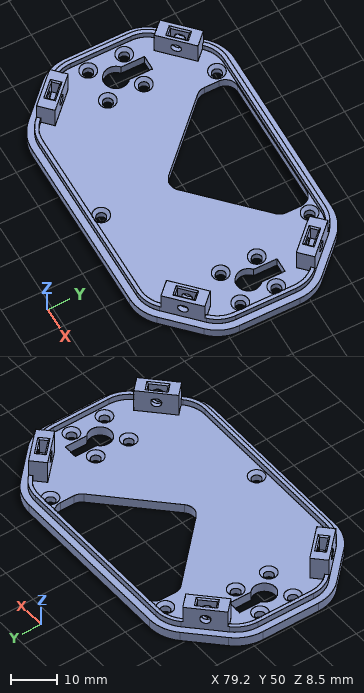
import cadquery as cq
import math

LENGTH = 79.2
WIDTH = 50.0
PLATE_HEIGHT = 2.5
CORNER_CUT = 13.4
CORNER_RADIUS = 10.0
CORNER_ANGLES = (45, 135, 225, 315)

RIM_INSET = 1.75
RIM_THICKNESS = 0.95
RIM_HEIGHT = 1.6

TOTAL_HEIGHT = 8.5
POST_WIDTH = 9.9
POST_DEPTH = 4.2

POST_HOLE_DIAMETER = 2.4
POST_HOLE_Z = 5.55
NUT_WIDTH = 4.35
NUT_THICKNESS = 1.9
NUT_SETBACK = 2.2
MOUTH_CHAMFER = 0.36

SCREW_DIAMETER = 2.4
SCREW_HEAD_DIAMETER = 4.0
SCREW_HEAD_ANGLE = 90.0
EDGE_SCREW_X = 21.0
EDGE_SCREW_Y = 19.95
GROUP_SCREW_OFFSET = 4.4

KEYHOLE_X = 30.0
KEYHOLE_DIAMETER = 5.8
KEYHOLE_SLOT_WIDTH = 3.65
KEYHOLE_SLOT_END = 8.0

OPENING_HALF_WIDTH = 18.5
OPENING_TOP = 22.1
OPENING_TIP = -4.3
OPENING_RADIUS = 3.0

half_length = LENGTH / 2
half_width = WIDTH / 2
post_height = TOTAL_HEIGHT - PLATE_HEIGHT

rim_inset_xy = RIM_INSET / math.sqrt(2)
post_x = half_length - CORNER_CUT / 2 - rim_inset_xy
post_y = half_width - CORNER_CUT / 2 - rim_inset_xy


def octagon(inset, bottom, height):
    """Rounded octagonal prism whose walls lie at the inset inside the plate edge."""
    cut = CORNER_CUT - inset * (2 - math.sqrt(2))
    return (
        cq.Workplane("XY", origin=(0, 0, bottom))
        .rect(LENGTH - 2 * inset, WIDTH - 2 * inset)
        .extrude(height)
        .edges("|Z").chamfer(cut)
        .edges("|Z").fillet(CORNER_RADIUS - inset)
    )


def opening_cutter():
    """Five-sided opening with rounded corners."""
    shoulder = OPENING_TIP + OPENING_HALF_WIDTH
    return (
        cq.Workplane("XY")
        .polyline([
            (-OPENING_HALF_WIDTH, OPENING_TOP),
            (-OPENING_HALF_WIDTH, shoulder),
            (0, OPENING_TIP),
            (OPENING_HALF_WIDTH, shoulder),
            (OPENING_HALF_WIDTH, OPENING_TOP),
        ])
        .close()
        .extrude(PLATE_HEIGHT)
        .edges("|Z").fillet(OPENING_RADIUS)
    )


def keyhole_cutter(x):
    """Round entry with a square-ended slot toward +Y."""
    entry = cq.Workplane("XY").center(x, 0).circle(KEYHOLE_DIAMETER / 2).extrude(PLATE_HEIGHT)
    slot = (
        cq.Workplane("XY")
        .center(x, KEYHOLE_SLOT_END / 2)
        .rect(KEYHOLE_SLOT_WIDTH, KEYHOLE_SLOT_END)
        .extrude(PLATE_HEIGHT)
    )
    return entry.union(slot)


def screw_points():
    """Centres of all the countersunk holes."""
    points = [(-EDGE_SCREW_X, EDGE_SCREW_Y), (EDGE_SCREW_X, EDGE_SCREW_Y), (0, -EDGE_SCREW_Y)]
    for keyhole_x in (-KEYHOLE_X, KEYHOLE_X):
        for dx in (-GROUP_SCREW_OFFSET, GROUP_SCREW_OFFSET):
            for dy in (-GROUP_SCREW_OFFSET, GROUP_SCREW_OFFSET):
                points.append((keyhole_x + dx, dy))
    return points


def make_plate():
    """Flat octagonal plate with its opening, keyholes and screw holes."""
    plate = octagon(0, 0, PLATE_HEIGHT).cut(opening_cutter())
    for x in (-KEYHOLE_X, KEYHOLE_X):
        plate = plate.cut(keyhole_cutter(x))
    return (
        plate.faces(">Z")
        .workplane(origin=(0, 0, PLATE_HEIGHT))
        .pushPoints(screw_points())
        .cskHole(SCREW_DIAMETER, SCREW_HEAD_DIAMETER, SCREW_HEAD_ANGLE)
    )


def nut_pocket():
    """Hexagonal nut seat, point down and open to the top, with a chamfered mouth."""
    nut_corners = NUT_WIDTH / math.cos(math.radians(30))
    seat = (
        cq.Workplane("YZ", origin=(-NUT_SETBACK, 0, POST_HOLE_Z))
        .transformed(rotate=(0, 0, 90))
        .polygon(6, nut_corners)
        .extrude(NUT_THICKNESS / 2, both=True)
    )
    shaft = (
        cq.Workplane("XY", origin=(-NUT_SETBACK, 0, POST_HOLE_Z))
        .rect(NUT_THICKNESS, NUT_WIDTH)
        .extrude(TOTAL_HEIGHT - POST_HOLE_Z)
    )
    mouth = (
        cq.Workplane("XY", origin=(-NUT_SETBACK, 0, TOTAL_HEIGHT - MOUTH_CHAMFER))
        .rect(NUT_THICKNESS, NUT_WIDTH)
        .workplane(offset=MOUTH_CHAMFER)
        .rect(NUT_THICKNESS + 2 * MOUTH_CHAMFER, NUT_WIDTH + 2 * MOUTH_CHAMFER)
        .loft()
    )
    return seat.union(shaft).union(mouth)


def post_block():
    """Solid post with its outer face on the YZ plane, facing +X."""
    return (
        cq.Workplane("XY", origin=(-POST_DEPTH / 2, 0, PLATE_HEIGHT))
        .rect(POST_DEPTH, POST_WIDTH)
        .extrude(post_height)
    )


def post_cutter():
    """Screw hole through the post together with its nut pocket."""
    hole = (
        cq.Workplane("YZ", origin=(-POST_DEPTH, 0, POST_HOLE_Z))
        .circle(POST_HOLE_DIAMETER / 2)
        .extrude(POST_DEPTH)
    )
    return hole.union(nut_pocket())


def make_rim():
    """Rim with a post at each of its four corners."""
    rim = octagon(RIM_INSET, PLATE_HEIGHT, RIM_HEIGHT)
    rim = rim.cut(octagon(RIM_INSET + RIM_THICKNESS, PLATE_HEIGHT, RIM_HEIGHT))
    block = post_block()
    cutter = post_cutter()
    for angle in CORNER_ANGLES:
        x = math.copysign(post_x, math.cos(math.radians(angle)))
        y = math.copysign(post_y, math.sin(math.radians(angle)))
        place = cq.Location(cq.Vector(x, y, 0), cq.Vector(0, 0, 1), angle)
        rim = rim.union(cq.Workplane(block.val().moved(place)))
        rim = rim.cut(cq.Workplane(cutter.val().moved(place)))
    return rim


plate = make_plate()
rim = make_rim()

result = cq.Compound.makeCompound([plate.val(), rim.val()])